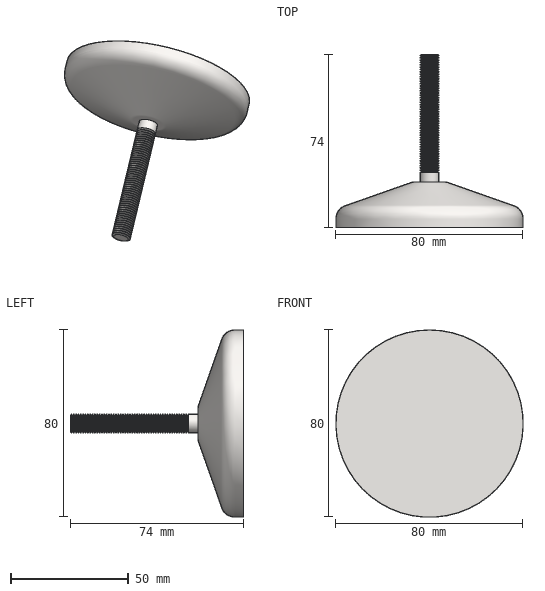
import cadquery as cq
import math

foot_radius = 40.0
rim_height = 3.8
shoulder_radius = 6.0
boss_radius = 7.3
boss_height = 19.5
boss_edge_fillet = 3.0

stud_radius = 4.0
neck_length = 4.0
overall_length = 74.0

ring_count = 50
thread_start = boss_height + neck_length
thread_pitch = (overall_length - thread_start) / (ring_count + 0.5)
thread_depth = 0.8
thread_crest_width = 0.2
thread_root_radius = stud_radius - thread_depth

shoulder_center_radius = foot_radius - shoulder_radius
run = shoulder_center_radius - boss_radius
drop = boss_height - rim_height
cone_angle = math.atan2(drop, run) - math.asin(shoulder_radius / math.hypot(run, drop))
arc_end_angle = math.pi / 2 - cone_angle


def shoulder_point(angle):
    """Axial position and radius on the shoulder arc, measured from its outermost point."""
    y = rim_height + shoulder_radius * math.sin(angle)
    radius = shoulder_center_radius + shoulder_radius * math.cos(angle)
    return y, radius


def make_foot():
    """Flat-bottomed disc with a straight rim, rounded shoulder and conical top."""
    profile = (
        cq.Workplane("YZ")
        .lineTo(0, foot_radius)
        .lineTo(rim_height, foot_radius)
        .threePointArc(shoulder_point(arc_end_angle / 2), shoulder_point(arc_end_angle))
        .lineTo(boss_height, boss_radius)
        .lineTo(boss_height, 0)
        .close()
    )
    foot = profile.revolve(360, (0, 0, 0), (1, 0, 0))
    return foot.faces(">Y").edges().fillet(boss_edge_fillet)


def make_stud():
    """Plain neck followed by ring-shaped threads, ending at a thread root."""
    profile = cq.Workplane("YZ").lineTo(0, stud_radius).lineTo(thread_start, stud_radius)
    for ring in range(ring_count, 0, -1):
        root = overall_length - ring * thread_pitch
        crest = root + thread_pitch / 2
        profile = (
            profile.lineTo(root, thread_root_radius)
            .lineTo(crest - thread_crest_width / 2, stud_radius)
            .lineTo(crest + thread_crest_width / 2, stud_radius)
        )
    profile = profile.lineTo(overall_length, thread_root_radius).lineTo(overall_length, 0).close()
    return profile.revolve(360, (0, 0, 0), (1, 0, 0))


result = make_foot().union(make_stud())